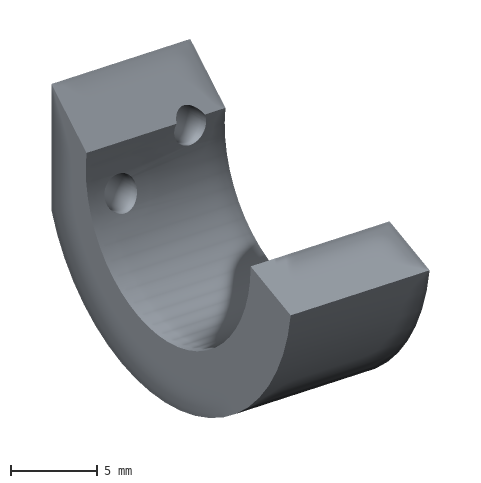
import cadquery as cq
import math

INNER_RADIUS = 8.0
OUTER_RADIUS = 12.0
WIDTH = 10.0

PAD_X = -11.34
PAD_TOP_Z = 4.17
PAD_BOTTOM_Z = -math.sqrt(OUTER_RADIUS**2 - PAD_X**2)

BORE_END_Z = 1.07
ARM_TIP_Z = -1.63

HOLE_DIAMETER = 2.3
HOLE_CENTRES = [(2.5, 0.54), (-2.7, -2.09)]


def make_body():
    """Profile in the XZ plane, extruded symmetrically along Y."""
    bore_end = (-math.sqrt(INNER_RADIUS**2 - BORE_END_Z**2), BORE_END_Z)
    arm_tip = (math.sqrt(OUTER_RADIUS**2 - ARM_TIP_Z**2), ARM_TIP_Z)
    return (
        cq.Workplane("XZ")
        .moveTo(PAD_X, PAD_TOP_Z)
        .lineTo(PAD_X, PAD_BOTTOM_Z)
        .threePointArc((0, -OUTER_RADIUS), arm_tip)
        .lineTo(INNER_RADIUS, 0)
        .threePointArc((0, -INNER_RADIUS), bore_end)
        .close()
        .extrude(WIDTH / 2, both=True)
    )


def drill_pad_holes(body):
    """Drill from the pad face into the open bore, stopping at the ring axis."""
    drills = (
        cq.Workplane("YZ", origin=(PAD_X, 0, 0))
        .pushPoints(HOLE_CENTRES)
        .circle(HOLE_DIAMETER / 2)
        .extrude(-PAD_X)
    )
    return body.cut(drills)


result = drill_pad_holes(make_body())